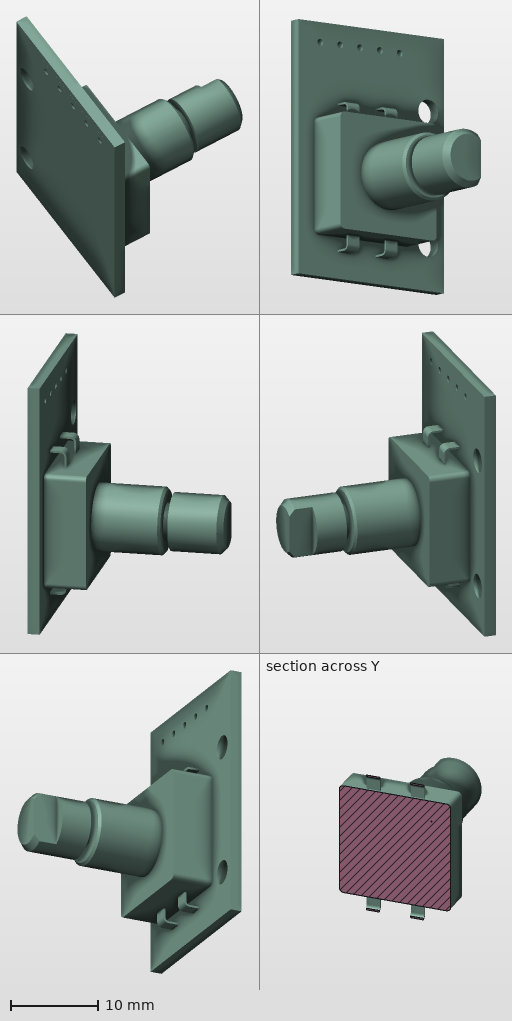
import cadquery as cq

board_width = 21.05
board_height = 29.65
board_thickness = 1.4
overall_depth = 21.55

pad_count = 5
pad_pitch = 2.88
pad_width = 1.72
pad_length = 2.82
pad_height = 0.005
pad_row_x = 12.13
pad_top_margin = 1.0
pad_hole_diameter = 0.8
pad_hole_top_margin = 2.37

mount_hole_diameter = 2.85
mount_hole_x = 2.25
mount_hole_low_z = 5.43
mount_hole_spacing = 15.48

encoder_x = 11.77
encoder_z = 11.65
body_width = 13.88
body_height = 13.67
body_depth = 4.92
body_corner_radius = 0.6
bushing_diameter = 7.92
bushing_length = 8.04
bushing_chamfer = 0.3
neck_diameter = 4.33
neck_length = 0.77
shaft_diameter = 6.82
shaft_chamfer = 0.68
flat_distance = 1.7
flat_length = 2.82

lead_width = 1.7
lead_spacing = 5.5
lead_thickness = 0.25
lead_standoff = 1.93
lead_bend_radius = 0.68
top_lead_reach = 1.93
bottom_lead_reach = 1.72

board_back = pad_height + board_thickness
body_back = board_back + body_depth
bushing_end = body_back + bushing_length
neck_end = bushing_end + neck_length
shaft_length = overall_depth - neck_end


def box(x, y, z, width, depth, height):
    """Box centred on x and z that starts at y and runs toward +Y."""
    return cq.Workplane("XY").box(width, depth, height, centered=(True, False, True)).translate((x, y, z))


def cylinder(x, y, z, diameter, length):
    """Cylinder along +Y that starts at y."""
    return cq.Workplane("XZ", origin=(x, y, z)).circle(diameter / 2).extrude(-length)


def make_board():
    board = box(board_width / 2, pad_height, board_height / 2, board_width, board_thickness, board_height)

    pad_z = board_height - pad_top_margin - pad_length / 2
    hole_z = board_height - pad_hole_top_margin
    for index in range(pad_count):
        pad_x = pad_row_x + (index - (pad_count - 1) / 2) * pad_pitch
        board = board.union(box(pad_x, 0, pad_z, pad_width, board_back, pad_length))
        board = board.cut(cylinder(pad_x, 0, hole_z, pad_hole_diameter, board_back))

    for hole_z in (mount_hole_low_z, mount_hole_low_z + mount_hole_spacing):
        board = board.cut(cylinder(mount_hole_x, 0, hole_z, mount_hole_diameter, board_back))
    return board


def make_encoder():
    body = box(encoder_x, board_back, encoder_z, body_width, body_depth, body_height)
    body = body.edges("|Y").fillet(body_corner_radius)

    bushing = cylinder(encoder_x, body_back, encoder_z, bushing_diameter, bushing_length)
    bushing = bushing.faces(">Y").chamfer(bushing_chamfer)

    neck = cylinder(encoder_x, bushing_end, encoder_z, neck_diameter, neck_length)

    shaft = cylinder(encoder_x, neck_end, encoder_z, shaft_diameter, shaft_length)
    shaft = shaft.faces(">Y").chamfer(shaft_chamfer)
    flat_center_x = encoder_x - flat_distance - shaft_diameter / 2
    flat_start = overall_depth - flat_length
    flat_cutter = box(flat_center_x, flat_start, encoder_z, shaft_diameter, flat_length, shaft_diameter)
    shaft = shaft.cut(flat_cutter)
    return body.union(bushing).union(neck).union(shaft)


def make_lead(x, side, reach):
    """Lead leaving the body at the top (side = 1) or bottom (side = -1), bent toward the board."""
    body_edge = encoder_z + side * body_height / 2
    center_y = board_back + lead_standoff - lead_thickness / 2
    center_z = body_edge + side * (reach - lead_thickness / 2)
    bend = lead_bend_radius - lead_thickness / 2
    path = (
        cq.Workplane("YZ", origin=(x, 0, 0))
        .moveTo(center_y, body_edge)
        .lineTo(center_y, center_z - side * bend)
        .tangentArcPoint((center_y - bend, center_z), relative=False)
        .lineTo(board_back, center_z)
    )
    section = cq.Workplane("XY", origin=(x, center_y, body_edge)).rect(lead_width, lead_thickness)
    return section.sweep(path)


result = make_board().union(make_encoder())
for side, reach in ((1, top_lead_reach), (-1, bottom_lead_reach)):
    for offset in (-lead_spacing / 2, lead_spacing / 2):
        result = result.union(make_lead(encoder_x + offset, side, reach))